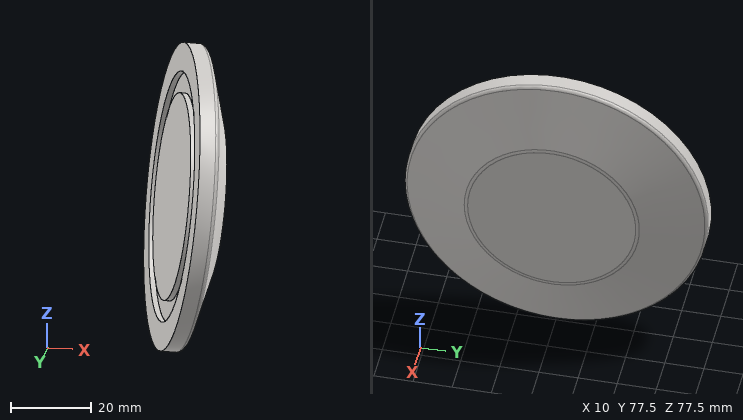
import cadquery as cq

outer_radius = 38.75
thickness = 10.0
rim_width = 4.7
crown_radius = 21.9
rim_fillet = 1.0
crown_fillet = 3.0

groove_outer_radius = 31.5
groove_inner_radius = 26.05
groove_depth = 1.5


def disc_body():
    """Revolve the rim and cone about X, then round both convex edges."""
    body = (
        cq.Workplane("XY")
        .polyline([
            (0, 0),
            (0, -outer_radius),
            (rim_width, -outer_radius),
            (thickness, -crown_radius),
            (thickness, 0),
        ])
        .close()
        .revolve(360, (0, 0, 0), (1, 0, 0))
    )
    body = body.faces(">X").edges().fillet(crown_fillet)
    rim_corner = cq.selectors.BoxSelector(
        (rim_width - rim_fillet, -outer_radius, -outer_radius),
        (rim_width + rim_fillet, outer_radius, outer_radius),
    )
    return body.edges("%CIRCLE").edges(rim_corner).fillet(rim_fillet)


def ring_groove():
    """Ring-shaped cutter sunk from the flat face."""
    return (
        cq.Workplane("YZ")
        .circle(groove_outer_radius)
        .circle(groove_inner_radius)
        .extrude(groove_depth)
    )


result = disc_body().cut(ring_groove())